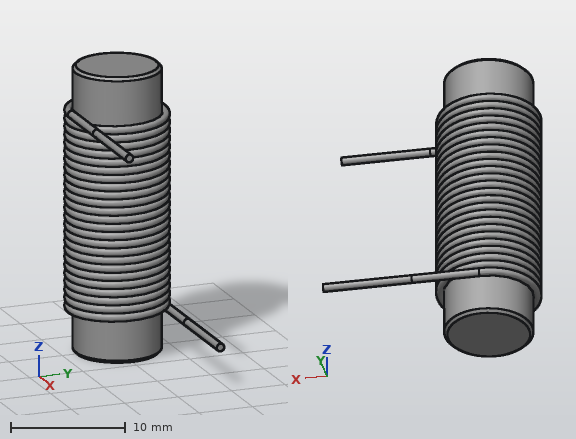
import cadquery as cq


core_diameter = 7.8
core_height = 26.1
core_chamfer = 0.3

wire_diameter = 0.7
coil_outer_diameter = 9.25
turns = 24.5
bottom_lead_z = 3.8
top_lead_z = 22.05
lead_end_x = 13.86
lead_joint_x = 5.98

wire_radius = wire_diameter / 2
coil_radius = coil_outer_diameter / 2 - wire_radius
coil_height = top_lead_z - bottom_lead_z
coil_pitch = coil_height / turns


def make_core():
    """Round rod with a chamfer around each end."""
    rod = cq.Workplane("XY").circle(core_diameter / 2).extrude(core_height)
    return rod.faces("<Z or >Z").edges().chamfer(core_chamfer)


def make_coil():
    """Right-handed coil that starts on the +Y side and climbs to the -Y side."""
    wire_path = cq.Wire.makeHelix(coil_pitch, coil_height, coil_radius)
    coil = (
        cq.Workplane("XZ")
        .center(coil_radius, 0)
        .circle(wire_radius)
        .sweep(cq.Workplane(obj=wire_path), isFrenet=True)
    )
    start_on_plus_y = coil.rotate((0, 0, 0), (0, 0, 1), 90)
    return start_on_plus_y.translate((0, 0, bottom_lead_z))


def make_lead_piece(start_x, end_x, y, z):
    """Straight round wire along X between two x positions."""
    return (
        cq.Workplane("YZ", origin=(start_x, y, z))
        .circle(wire_radius)
        .extrude(end_x - start_x)
    )


core = make_core()
coil = make_coil()

inner_leads = []
outer_leads = []
for lead_y, lead_z in [(coil_radius, bottom_lead_z), (-coil_radius, top_lead_z)]:
    inner_leads.append(make_lead_piece(0, lead_joint_x, lead_y, lead_z).val())
    outer_leads.append(make_lead_piece(lead_joint_x, lead_end_x, lead_y, lead_z).val())

result = cq.Compound.makeCompound([core.val(), coil.val(), *inner_leads, *outer_leads])